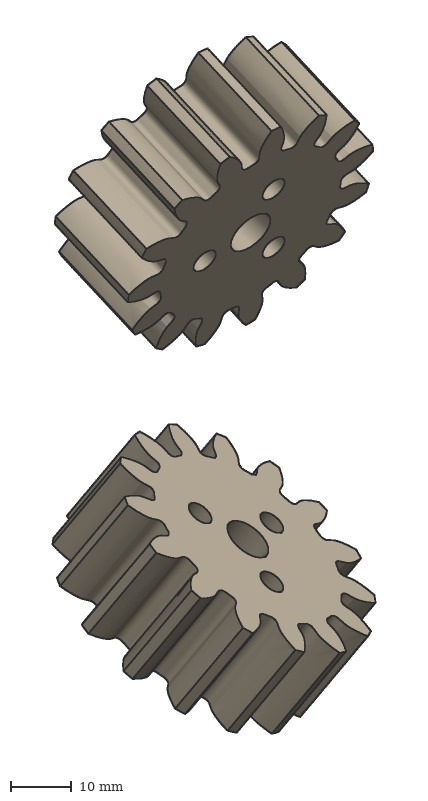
import cadquery as cq
import math

gear_width = 50.9
face_width = 20.0
tooth_count = 15
pressure_angle = math.radians(20)
tooth_pitch = 2 * math.pi / tooth_count
lowest_tooth_angle = -math.pi / 2
flank_points = 6

bore_diameter = 8.2
recess_diameter = 15.0
recess_depth = 15.0
bolt_hole_diameter = 4.6
bolt_circle_radius = 9.5
bolt_hole_count = 3
first_bolt_angle = 180.0


def involute(angle):
    return math.tan(angle) - angle


pitch_ratio = tooth_count / 2
addendum_ratio = 1.0
clearance_ratio = 0.25
dedendum_ratio = addendum_ratio + clearance_ratio
tip_ratio = pitch_ratio + addendum_ratio
root_ratio = pitch_ratio - dedendum_ratio
base_ratio = pitch_ratio * math.cos(pressure_angle)
root_fillet_ratio = 1.5 * clearance_ratio

base_half_angle = tooth_pitch / 4 + involute(pressure_angle)
tip_half_angle = base_half_angle - involute(math.acos(base_ratio / tip_ratio))

widest_corner_angle = tooth_pitch / 4 - tip_half_angle
tip_radius = gear_width / 2 / math.cos(widest_corner_angle)
module = tip_radius / tip_ratio
base_radius = base_ratio * module
root_radius = root_ratio * module
root_fillet_radius = root_fillet_ratio * module


def polar(radius, angle):
    return radius * math.cos(angle), radius * math.sin(angle)


def flank(tooth_angle, side):
    """Involute points from base circle to tip; side is -1 or +1 of the tooth centreline."""
    points = []
    for step in range(flank_points):
        radius = base_radius + (tip_radius - base_radius) * step / (flank_points - 1)
        half_angle = base_half_angle - involute(math.acos(base_radius / radius))
        points.append(polar(radius, tooth_angle + side * half_angle))
    return points


def gear_outline():
    """Teeth with involute flanks, radial below the base circle, joined by root arcs."""
    outline = cq.Workplane("YZ").moveTo(*polar(root_radius, lowest_tooth_angle - base_half_angle))
    for tooth in range(tooth_count):
        tooth_angle = lowest_tooth_angle + tooth * tooth_pitch
        rising = flank(tooth_angle, -1)
        falling = flank(tooth_angle, 1)[::-1]
        root_start = tooth_angle + base_half_angle
        gap_middle = tooth_angle + tooth_pitch / 2
        next_tooth_start = tooth_angle + tooth_pitch - base_half_angle
        outline = (
            outline.lineTo(*rising[0])
            .spline(rising[1:], includeCurrent=True)
            .threePointArc(polar(tip_radius, tooth_angle), falling[0])
            .spline(falling[1:], includeCurrent=True)
            .lineTo(*polar(root_radius, root_start))
            .threePointArc(polar(root_radius, gap_middle), polar(root_radius, next_tooth_start))
        )
    return outline.close()


def root_corner_edges(gear):
    """Axial edges where the tooth sides meet the root circle."""
    middle_radius = (root_radius + base_radius) / 2

    def is_root(edge):
        middle = edge.Center()
        return math.hypot(middle.y, middle.z) < middle_radius

    return [edge for edge in gear.edges("|X").vals() if is_root(edge)]


def gear_body():
    gear = gear_outline().extrude(face_width)
    return gear.newObject(root_corner_edges(gear)).fillet(root_fillet_radius)


def cylinder(diameter, length):
    return cq.Workplane("YZ").circle(diameter / 2).extrude(length)


def bolt_holes():
    return (
        cq.Workplane("YZ")
        .polarArray(bolt_circle_radius, first_bolt_angle, 360, bolt_hole_count)
        .circle(bolt_hole_diameter / 2)
        .extrude(face_width)
    )


result = (
    gear_body()
    .cut(cylinder(bore_diameter, face_width))
    .cut(cylinder(recess_diameter, recess_depth))
    .cut(bolt_holes())
)